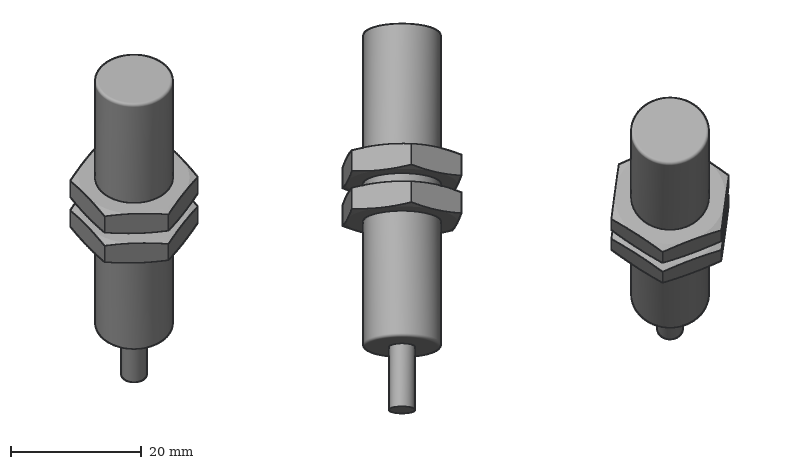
import cadquery as cq
import math

total_length = 60.0
cable_length = 10.0
cable_diameter = 4.0
body_diameter = 12.0
body_rim_radius = 0.5

nut_across_flats = 17.0
nut_height = 4.0
nut_gap = 2.0
nut_chamfer_angle = 15.0

body_length = total_length - cable_length
body_middle = cable_length + body_length / 2
nut_across_corners = nut_across_flats / math.cos(math.radians(30))


def make_body():
    """Sensor barrel with both rims rounded."""
    return (
        cq.Workplane("XY")
        .workplane(offset=cable_length)
        .circle(body_diameter / 2)
        .extrude(body_length)
        .edges("%CIRCLE")
        .fillet(body_rim_radius)
    )


def make_cable():
    """Cable stub leaving the lower end of the body."""
    return cq.Workplane("XY").circle(cable_diameter / 2).extrude(cable_length)


def make_nut(bottom):
    """Hexagon nut with corners on Y, both faces trimmed by a shallow cone."""
    hexagon = (
        cq.Workplane("XY")
        .polygon(6, nut_across_corners)
        .extrude(nut_height)
        .rotate((0, 0, 0), (0, 0, 1), 90)
    )
    flat_radius = nut_across_flats / 2
    corner_radius = nut_across_corners / 2
    corner_drop = (corner_radius - flat_radius) * math.tan(math.radians(nut_chamfer_angle))
    profile = [
        (0, 0),
        (flat_radius, 0),
        (corner_radius, corner_drop),
        (corner_radius, nut_height - corner_drop),
        (flat_radius, nut_height),
        (0, nut_height),
    ]
    cone_limits = cq.Workplane("XZ").polyline(profile).close().revolve(360, (0, 0), (0, 1))
    return hexagon.intersect(cone_limits).translate((0, 0, bottom))


result = make_body().union(make_cable())
for nut_bottom in (body_middle - nut_gap / 2 - nut_height, body_middle + nut_gap / 2):
    result = result.union(make_nut(nut_bottom))